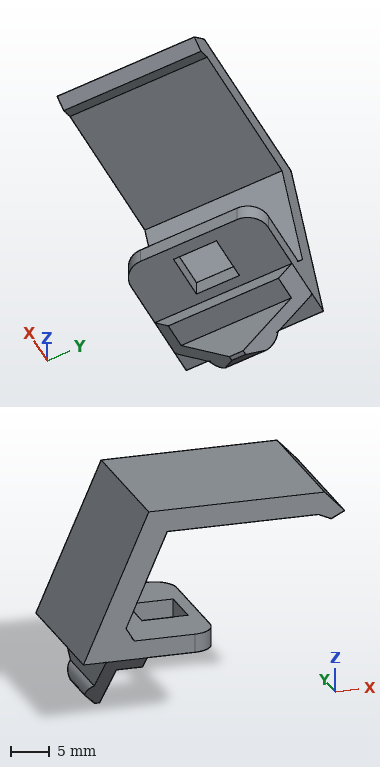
import cadquery as cq

length = 35.27
width = 20.0
body_height = 20.0
roof_thickness = 3.0
base_thickness = 2.5
base_length = 18.05
base_corner_radius = 3.0
wall_top_x = 8.8
roof_inner_x = 11.32
wall_foot_x = 5.75
wall_foot_z = 4.35
base_inner_x = 6.88

lip_top_x = 32.55
lip_tip_z = 17.15
lip_nib_x = 33.45
lip_nib_z = 16.22
lip_root_x = 31.75

hook_depth = 9.0
hook_back_x = 3.07
hook_front_x = 5.08
hook_foot_x = 8.6
hook_foot_thickness = 1.98
hook_tip_back_x = 4.4
bump_diameter = 3.2
bump_top_z = -5.0
bump_bottom_x = 2.45
bump_bottom_z = -6.95

window_size = 6.25
window_end_x = 16.33


def make_body():
    """Sloping wall, roof with lip, and base plate with rounded free corners."""
    roof_underside = body_height - roof_thickness
    outline = [
        (0, 0),
        (wall_top_x, body_height),
        (lip_top_x, body_height),
        (length, lip_tip_z),
        (lip_nib_x, lip_nib_z),
        (lip_root_x, roof_underside),
        (roof_inner_x, roof_underside),
        (wall_foot_x, wall_foot_z),
        (base_inner_x, base_thickness),
        (base_length, base_thickness),
        (base_length, 0),
    ]
    body = cq.Workplane("XZ").polyline(outline).close().extrude(width / 2, both=True)
    base_end = cq.selectors.BoxSelector(
        (base_length - 0.35, -width, -0.35),
        (base_length + 0.35, width, base_thickness + 0.35),
    )
    return body.edges("|Z").edges(base_end).fillet(base_corner_radius)


def make_hook():
    """Hook profile across the width, trimmed by 45 degree sides toward its tip."""
    profile = (
        cq.Workplane("XZ")
        .moveTo(hook_back_x, 0)
        .lineTo(hook_back_x, bump_top_z)
        .radiusArc((bump_bottom_x, bump_bottom_z), -bump_diameter / 2)
        .lineTo(hook_tip_back_x, -hook_depth)
        .lineTo(hook_front_x, -hook_depth)
        .lineTo(hook_front_x, -hook_foot_thickness)
        .lineTo(hook_foot_x, -hook_foot_thickness)
        .lineTo(hook_foot_x, 0)
        .close()
        .extrude(width / 2, both=True)
    )
    tip_half_width = width / 2 - hook_depth
    taper = (
        cq.Workplane("YZ")
        .polyline([
            (-width / 2, 0),
            (width / 2, 0),
            (tip_half_width, -hook_depth),
            (-tip_half_width, -hook_depth),
        ])
        .close()
        .extrude(base_length)
    )
    return profile.intersect(taper)


def make_window():
    """Square cutter through the base plate, centred across the width."""
    return (
        cq.Workplane("XY")
        .center(window_end_x - window_size / 2, 0)
        .rect(window_size, window_size)
        .extrude(base_thickness)
    )


result = make_body().union(make_hook()).cut(make_window())